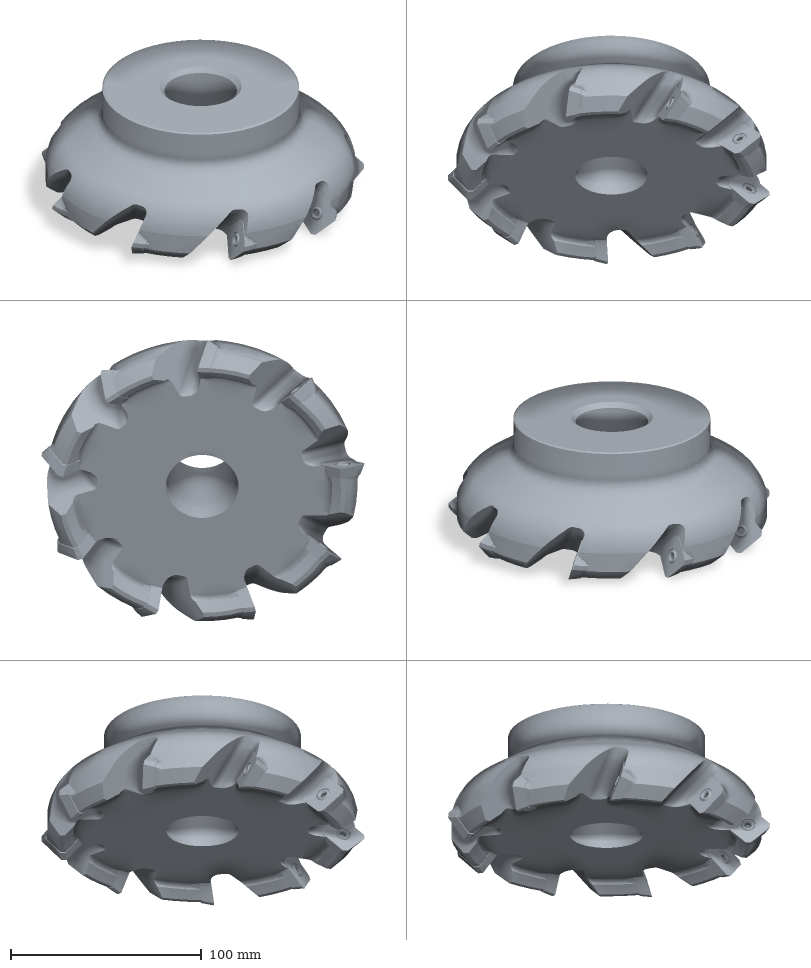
import cadquery as cq
import math

TOP_Z = 63.0
BOTTOM_Z = 1.5
COLLAR_RADIUS = 103.5 / 2
COLLAR_CHAMFER_WIDTH = 1.0
COLLAR_CHAMFER_HEIGHT = 0.5
SHOULDER_ANGLE = 32.0
SHOULDER_END_RADIUS = 71.8
SHOULDER_END_Z = 32.9
NECK_FILLET = 4.0
RIM_RADIUS = 81.5
RIM_TOP_Z = 18.0
RIM_BOTTOM_Z = 7.6
BOTTOM_RADIUS = 75.4

BORE_DIAMETER = 38.1
BORE_MOUTH_DIAMETER = 43.0
RECESS_DEPTH = 6.5
RECESS_MOUTH_RADIUS = 72.9
RECESS_RADIUS = 68.3
RECESS_FILLET = 2.5

TOOTH_COUNT = 9
FIRST_TIP_ANGLE = 23.3
TIP_RADIUS = 86.0
RADIAL_RAKE = 7.0
AXIAL_RAKE = 17.5

INSERT_REACH = 11.5
CORNER_FLAT = 2.7
INSERT_THICKNESS = 6.0
CLEARANCE_ANGLE = 22.0
BACK_LIFT = 0.1
SEAT_THICKNESS = 3.7
SEAT_INSET = 0.5

SCREW_RIM_DIAMETER = 8.1
SCREW_SHOULDER_DIAMETER = 7.1
SCREW_TOP_DIAMETER = 5.8
SOCKET_MOUTH_DIAMETER = 4.5
SOCKET_DIAMETER = 3.4
SOCKET_CHAMFER = 0.7
SOCKET_DEPTH = 2.5
SCREW_RECESS = 0.5
SCREW_CROWN = 0.3

FLUTE_FLOOR = 11.7
FLUTE_SIDE_DEPTH = 0.5
FLUTE_WALL_OFFSET = 7.6
FLUTE_WALL_ANGLE = 40.0
FLUTE_FILLET = 3.7
FLUTE_REACH = 50.8

rake = math.radians(RADIAL_RAKE)
tilt = math.radians(AXIAL_RAKE)
radial_axis = cq.Vector(math.cos(rake), math.sin(rake), 0)
tilted_axis = cq.Vector(-math.sin(rake) * math.sin(tilt), math.cos(rake) * math.sin(tilt), math.cos(tilt))
face_normal = radial_axis.cross(tilted_axis)
face_centre = cq.Vector(
    TIP_RADIUS - INSERT_REACH * math.cos(rake),
    -INSERT_REACH * math.sin(rake),
    INSERT_REACH * math.cos(tilt),
)


def face_point(along_radial, along_tilt, height):
    """Point given along the face's radial diagonal, its tilted diagonal and its normal."""
    return face_centre + radial_axis * along_radial + tilted_axis * along_tilt + face_normal * height


def make_blank():
    """Head turned about Z, before bore, recess and flutes."""
    slope = math.tan(math.radians(SHOULDER_ANGLE))
    neck_z = SHOULDER_END_Z + (SHOULDER_END_RADIUS - COLLAR_RADIUS) * slope
    fillet_length = NECK_FILLET * math.tan(math.radians(90 - SHOULDER_ANGLE) / 2)
    fillet_end_radius = COLLAR_RADIUS + fillet_length * math.cos(math.radians(SHOULDER_ANGLE))
    fillet_end_z = neck_z - fillet_length * math.sin(math.radians(SHOULDER_ANGLE))
    return (
        cq.Workplane("XZ")
        .moveTo(0, TOP_Z)
        .lineTo(COLLAR_RADIUS - COLLAR_CHAMFER_WIDTH, TOP_Z)
        .lineTo(COLLAR_RADIUS, TOP_Z - COLLAR_CHAMFER_HEIGHT)
        .lineTo(COLLAR_RADIUS, neck_z + fillet_length)
        .radiusArc((fillet_end_radius, fillet_end_z), -NECK_FILLET)
        .lineTo(SHOULDER_END_RADIUS, SHOULDER_END_Z)
        .tangentArcPoint((RIM_RADIUS, RIM_TOP_Z), relative=False)
        .lineTo(RIM_RADIUS, RIM_BOTTOM_Z)
        .lineTo(BOTTOM_RADIUS, BOTTOM_Z)
        .lineTo(0, BOTTOM_Z)
        .close()
        .revolve(360, (0, 0, 0), (0, 1, 0))
    )


def make_bore():
    """Through bore with a 45 degree chamfer at the top."""
    bore_radius = BORE_DIAMETER / 2
    mouth_radius = BORE_MOUTH_DIAMETER / 2
    return (
        cq.Workplane("XZ")
        .moveTo(0, BOTTOM_Z)
        .lineTo(bore_radius, BOTTOM_Z)
        .lineTo(bore_radius, TOP_Z - (mouth_radius - bore_radius))
        .lineTo(mouth_radius, TOP_Z)
        .lineTo(0, TOP_Z)
        .close()
        .revolve(360, (0, 0, 0), (0, 1, 0))
    )


def make_recess():
    """Round hollow in the underside with a flared mouth and a rounded upper edge."""
    ceiling_z = BOTTOM_Z + RECESS_DEPTH
    return (
        cq.Workplane("XZ")
        .moveTo(0, BOTTOM_Z)
        .lineTo(RECESS_MOUTH_RADIUS, BOTTOM_Z)
        .lineTo(RECESS_RADIUS, ceiling_z - RECESS_FILLET)
        .radiusArc((RECESS_RADIUS - RECESS_FILLET, ceiling_z), -RECESS_FILLET)
        .lineTo(0, ceiling_z)
        .close()
        .revolve(360, (0, 0, 0), (0, 1, 0))
    )


def plate_outline(depth, inset):
    """Square standing on its corner with the corners cut flat, `depth` behind the cutting face."""
    reach = INSERT_REACH - inset - depth * math.tan(math.radians(CLEARANCE_ANGLE))
    half_flat = CORNER_FLAT / 2
    corners = []
    for quarter in range(4):
        direction = math.pi / 2 * quarter
        for side in (-half_flat, half_flat):
            along_radial = reach * math.cos(direction) - side * math.sin(direction)
            along_tilt = reach * math.sin(direction) + side * math.cos(direction)
            corners.append(face_point(along_radial, along_tilt + depth * BACK_LIFT, -depth))
    return cq.Wire.makePolygon(corners, close=True)


def make_plate(front_depth, back_depth, inset):
    """Tapered plate between two depths behind the cutting face."""
    outlines = [plate_outline(front_depth, inset), plate_outline(back_depth, inset)]
    return cq.Workplane(cq.Solid.makeLoft(outlines, ruled=True))


def make_insert_plate():
    """Solid plate of the insert, which is also the shape of its pocket in the head."""
    return make_plate(0, INSERT_THICKNESS, 0)


def make_insert():
    """Insert plate with its clamping screw head, crowned and socketed, in the middle of the face."""
    plate = make_insert_plate()
    face = cq.Workplane(cq.Plane(face_centre, xDir=radial_axis, normal=face_normal))
    rim_recess = face.circle(SCREW_RIM_DIAMETER / 2).extrude(-SCREW_RECESS)
    crown = (
        face.workplane(offset=-SCREW_RECESS)
        .circle(SCREW_SHOULDER_DIAMETER / 2)
        .workplane(offset=SCREW_RECESS + SCREW_CROWN)
        .circle(SCREW_TOP_DIAMETER / 2)
        .loft(ruled=True)
    )
    socket_mouth = (
        face.workplane(offset=SCREW_CROWN)
        .circle(SOCKET_MOUTH_DIAMETER / 2)
        .workplane(offset=-SOCKET_CHAMFER)
        .circle(SOCKET_DIAMETER / 2)
        .loft(ruled=True)
    )
    socket = face.workplane(offset=SCREW_CROWN).circle(SOCKET_DIAMETER / 2).extrude(-SOCKET_DEPTH)
    return plate.cut(rim_recess).union(crown).cut(socket_mouth).cut(socket)


def make_seat():
    """Backing pad of the head, set slightly inside the insert's outline."""
    return make_plate(INSERT_THICKNESS, INSERT_THICKNESS + SEAT_THICKNESS, SEAT_INSET)


def make_flute():
    """Groove parallel to the insert's cutting edge, one side just behind the cutting face."""
    edge_direction = (radial_axis + tilted_axis).normalized()
    floor_direction = (tilted_axis - radial_axis).normalized()
    plane = cq.Plane(face_centre, xDir=floor_direction, normal=floor_direction.cross(face_normal))
    wall_rise = FLUTE_REACH * math.tan(math.radians(FLUTE_WALL_ANGLE))
    return (
        cq.Workplane(plane)
        .moveTo(FLUTE_FLOOR - FLUTE_REACH, -FLUTE_SIDE_DEPTH)
        .lineTo(FLUTE_FLOOR, -FLUTE_SIDE_DEPTH)
        .lineTo(FLUTE_FLOOR, FLUTE_WALL_OFFSET)
        .lineTo(FLUTE_FLOOR - FLUTE_REACH, FLUTE_WALL_OFFSET + wall_rise)
        .close()
        .extrude(FLUTE_REACH, both=True)
        .edges(cq.selectors.ParallelDirSelector(edge_direction))
        .edges(cq.selectors.CenterNthSelector(floor_direction, -1))
        .fillet(FLUTE_FILLET)
    )


def around_axis(shape):
    """Copies of a tooth feature, one for every tooth."""
    angles = [FIRST_TIP_ANGLE + tooth * 360 / TOOTH_COUNT for tooth in range(TOOTH_COUNT)]
    return [shape.rotate((0, 0, 0), (0, 0, 1), angle) for angle in angles]


def make_head():
    """Cutter head with its flutes, backing pads and insert pockets."""
    body = make_blank().cut(make_bore()).cut(make_recess())
    for flute in around_axis(make_flute()):
        body = body.cut(flute)
    for seat in around_axis(make_seat()):
        body = body.union(seat)
    for pocket in around_axis(make_insert_plate()):
        body = body.cut(pocket)
    return body


head = make_head()
inserts = around_axis(make_insert())
result = cq.Compound.makeCompound([head.val(), *[insert.val() for insert in inserts]])